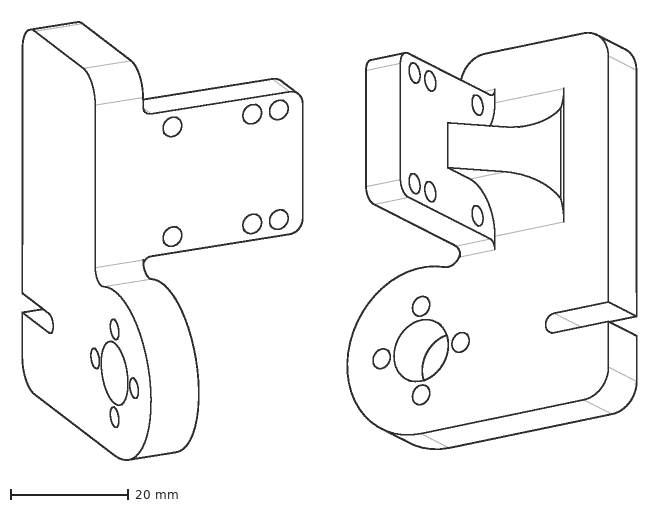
import cadquery as cq
import math

plate_thickness = 9.0
plate_height = 66.27
top_left_x = 0.06
column_right_x = 30.04
corner_radius = 5.0

lobe_x = 38.0
lobe_radius = 15.0
lobe_z = lobe_radius
neck_radius = 2.5
bore_diameter = 11.0
screw_diameter = 3.5
screw_circle_radius = 8.0
screw_count = 4

slot_width = screw_diameter
slot_end_center_x = 11.0

upright_thickness = 7.0
upright_left_x = column_right_x - upright_thickness
upright_end_y = 39.0
upright_bottom_z = 32.0
upright_height = 26.0
upright_top_z = upright_bottom_z + upright_height
upright_mid_z = upright_bottom_z + upright_height / 2
upright_corner_radius = 2.5
upright_hole_y = (14.5, 29.5, 34.5)
upright_hole_edge_distance = 3.0

root_radius = 1.5

gusset_width = 8.1
gusset_length = 14.0
gusset_tip_y = 24.0
gusset_flare_radius = 8.0

overlap = 1.0


def front_plane():
    """Workplane on the front face, Y = 0; local axes are X and Z, negative extrusion goes toward +Y."""
    return cq.Workplane("XZ")


def yz_plane(x):
    """Workplane at the given X; local axes are Y and Z, extruding toward +X."""
    return cq.Workplane("YZ", origin=(x, 0, 0))


def make_plate_blank():
    column = (
        front_plane()
        .moveTo(0, 0)
        .lineTo(column_right_x, 0)
        .lineTo(column_right_x, plate_height)
        .lineTo(top_left_x, plate_height)
        .close()
        .extrude(-plate_thickness)
    )
    column = column.edges("|Y").edges("<X or >Z").fillet(corner_radius)

    neck_x = column_right_x + neck_radius
    center_distance = lobe_radius + neck_radius
    neck_z = lobe_z + math.sqrt(center_distance**2 - (lobe_x - neck_x) ** 2)
    neck_angle = math.atan2(neck_z - lobe_z, neck_x - lobe_x)
    touch_x = lobe_x + lobe_radius * math.cos(neck_angle)
    touch_z = lobe_z + lobe_radius * math.sin(neck_angle)
    mid_angle = math.pi + neck_angle / 2
    neck_mid = (
        neck_x + neck_radius * math.cos(mid_angle),
        neck_z + neck_radius * math.sin(mid_angle),
    )
    lobe = (
        front_plane()
        .moveTo(column_right_x - overlap, 0)
        .lineTo(lobe_x, 0)
        .threePointArc((lobe_x + lobe_radius, lobe_z), (lobe_x, lobe_z + lobe_radius))
        .radiusArc((touch_x, touch_z), -lobe_radius)
        .threePointArc(neck_mid, (column_right_x, neck_z))
        .lineTo(column_right_x - overlap, neck_z)
        .close()
        .extrude(-plate_thickness)
    )
    return column.union(lobe)


def cut_plate_openings(plate):
    bore = front_plane().center(lobe_x, lobe_z).circle(bore_diameter / 2).extrude(-plate_thickness)
    screws = (
        front_plane()
        .center(lobe_x, lobe_z)
        .polarArray(screw_circle_radius, 0, 360, screw_count)
        .circle(screw_diameter / 2)
        .extrude(-plate_thickness)
    )
    slot_half_width = slot_width / 2
    slot = (
        front_plane()
        .moveTo(-overlap, lobe_z - slot_half_width)
        .lineTo(slot_end_center_x, lobe_z - slot_half_width)
        .threePointArc(
            (slot_end_center_x + slot_half_width, lobe_z),
            (slot_end_center_x, lobe_z + slot_half_width),
        )
        .lineTo(-overlap, lobe_z + slot_half_width)
        .close()
        .extrude(-plate_thickness)
    )
    return plate.cut(bore).cut(screws).cut(slot)


def flared_strip(x, thickness, half_width, end_y, flare_radius):
    """Strip along Y, symmetric about the upright's middle, widened by quarter arcs at the plate."""
    flare_start_y = plate_thickness + flare_radius
    root_half_width = half_width + flare_radius
    return (
        yz_plane(x)
        .center(0, upright_mid_z)
        .moveTo(end_y, -half_width)
        .lineTo(end_y, half_width)
        .lineTo(flare_start_y, half_width)
        .radiusArc((plate_thickness, root_half_width), flare_radius)
        .lineTo(plate_thickness - overlap, root_half_width)
        .lineTo(plate_thickness - overlap, -root_half_width)
        .lineTo(plate_thickness, -root_half_width)
        .radiusArc((flare_start_y, -half_width), flare_radius)
        .close()
        .extrude(thickness)
    )


def make_upright():
    upright = flared_strip(
        upright_left_x, upright_thickness, upright_height / 2, upright_end_y, root_radius
    )
    upright = upright.edges("|X and >Y").fillet(upright_corner_radius)
    hole_centers = []
    for y in upright_hole_y:
        hole_centers.append((y, upright_bottom_z + upright_hole_edge_distance))
        hole_centers.append((y, upright_top_z - upright_hole_edge_distance))
    holes = (
        yz_plane(upright_left_x)
        .pushPoints(hole_centers)
        .circle(screw_diameter / 2)
        .extrude(upright_thickness)
    )
    return upright.cut(holes)


def make_gusset():
    gusset_left_x = upright_left_x - gusset_length
    strip = flared_strip(
        gusset_left_x, gusset_length, gusset_width / 2, gusset_tip_y, gusset_flare_radius
    )
    wedge = (
        cq.Workplane("XY")
        .moveTo(gusset_left_x, plate_thickness - overlap)
        .lineTo(upright_left_x, plate_thickness - overlap)
        .lineTo(upright_left_x, gusset_tip_y)
        .lineTo(gusset_left_x, gusset_tip_y - gusset_length)
        .close()
        .extrude(plate_height)
    )
    return strip.intersect(wedge)


plate = cut_plate_openings(make_plate_blank())
result = plate.union(make_upright()).union(make_gusset())